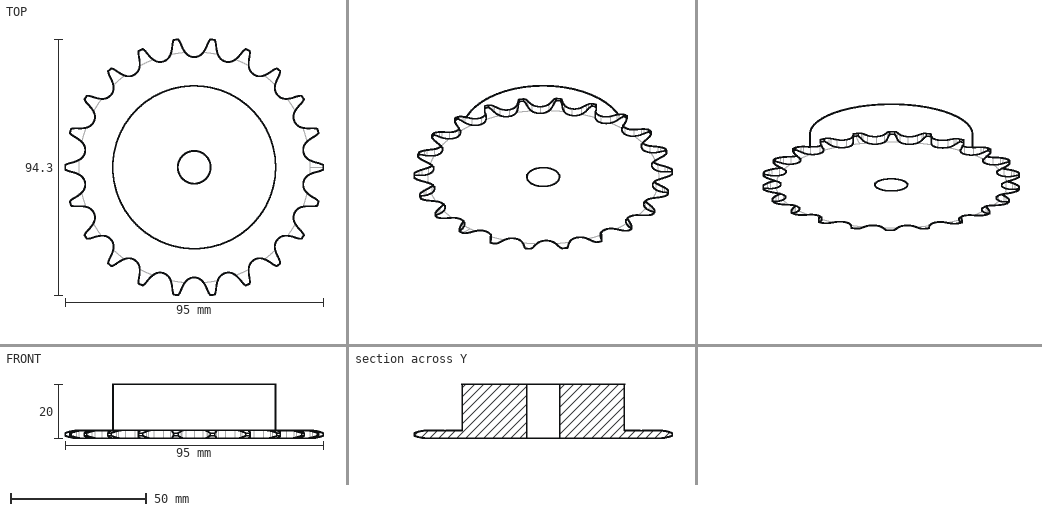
import cadquery as cq
import math

teeth = 22
chain_pitch = 12.7
roller_diameter = 7.92
tip_diameter = 95.0
seat_clearance = 0.0762
working_clearance = 0.0381

plate_thickness = 3.0
tooth_side_radius = 13.0
tooth_side_depth = 5.0
hub_diameter = 60.0
overall_height = 20.0
bore_diameter = 12.0

tooth_step = 360.0 / teeth
tip_radius = tip_diameter / 2
pitch_radius = chain_pitch / math.sin(math.pi / teeth) / 2

seat_end_angle = math.radians(35.0 + 60.0 / teeth)
working_sweep = math.radians(18.0 - 56.0 / teeth)
topping_angle = math.radians(17.0 - 64.0 / teeth)
working_offset = 0.8 * roller_diameter
topping_offset = 1.4 * roller_diameter
seat_radius = (1.005 * roller_diameter + seat_clearance) / 2
working_radius = 1.3025 * roller_diameter + working_clearance
topping_radius = (
    working_offset * math.cos(working_sweep)
    + topping_offset * math.cos(topping_angle)
    - working_radius
)
flat_length = topping_offset * math.sin(topping_angle) - working_offset * math.sin(working_sweep)

gap_reach = 1.0


def tooth_side_drop(run):
    """Thinning of one face of the rim at a radial run outwards from the start of the side arc."""
    return tooth_side_radius - math.sqrt(tooth_side_radius**2 - run**2)


def make_tooth_blank():
    """Disc whose rim thins towards the tips along an arc on both faces."""
    rim_start = tip_radius - tooth_side_depth
    mid_x = rim_start + tooth_side_depth / 2
    mid_drop = tooth_side_drop(tooth_side_depth / 2)
    tip_drop = tooth_side_drop(tooth_side_depth)
    profile = (
        cq.Workplane("XZ")
        .lineTo(rim_start, 0)
        .threePointArc((mid_x, mid_drop), (tip_radius, tip_drop))
        .lineTo(tip_radius, plate_thickness - tip_drop)
        .threePointArc((mid_x, plate_thickness - mid_drop), (rim_start, plate_thickness))
        .lineTo(0, plate_thickness)
        .close()
    )
    return profile.revolve(360, (0, 0, 0), (0, 1, 0))


def arc_point(center, radius, angle):
    """Point on a circle, with the angle measured from +Y towards -X."""
    return (center[0] - radius * math.sin(angle), center[1] + radius * math.cos(angle))


def make_half_gap():
    """The +Y half of the gap along +X: seat arc, working arc, short flat and convex topping arc."""
    seat_center = (pitch_radius, 0.0)
    root = (pitch_radius - seat_radius, 0.0)
    seat_mid = arc_point(seat_center, seat_radius, (math.pi / 2 + seat_end_angle) / 2)
    seat_end = arc_point(seat_center, seat_radius, seat_end_angle)

    working_center = arc_point(seat_center, -working_offset, seat_end_angle)
    flat_angle = seat_end_angle - working_sweep
    working_mid = arc_point(working_center, working_radius, seat_end_angle - working_sweep / 2)
    working_end = arc_point(working_center, working_radius, flat_angle)

    flat_end = (
        working_end[0] + flat_length * math.cos(flat_angle),
        working_end[1] + flat_length * math.sin(flat_angle),
    )

    topping_center = arc_point(flat_end, topping_radius, flat_angle)

    def topping_point(x):
        rise = math.sqrt(topping_radius**2 - (x - topping_center[0]) ** 2)
        return (x, topping_center[1] - rise)

    outer_x = tip_radius + gap_reach
    return (
        cq.Workplane("XY")
        .moveTo(*root)
        .threePointArc(seat_mid, seat_end)
        .threePointArc(working_mid, working_end)
        .lineTo(*flat_end)
        .threePointArc(topping_point((flat_end[0] + outer_x) / 2), topping_point(outer_x))
        .lineTo(outer_x, 0)
        .close()
        .extrude(plate_thickness)
    )


def make_sprocket():
    """Toothed plate with a plain hub on top and a through bore."""
    half_gap = make_half_gap()
    gap = half_gap.union(half_gap.mirror("XZ"), clean=False).val()
    gaps = []
    for index in range(teeth):
        gap_angle = (index + 0.5) * tooth_step
        gaps.append(gap.rotate((0, 0, 0), (0, 0, 1), gap_angle))
    all_gaps = cq.Workplane(cq.Compound.makeCompound(gaps))
    plate = make_tooth_blank().cut(all_gaps, clean=False)
    hub_height = overall_height - plate_thickness
    hub = cq.Workplane("XY", (0, 0, plate_thickness)).circle(hub_diameter / 2).extrude(hub_height)
    bore = cq.Workplane("XY").circle(bore_diameter / 2).extrude(overall_height)
    return plate.union(hub, clean=False).cut(bore, clean=False).solids()


result = make_sprocket()